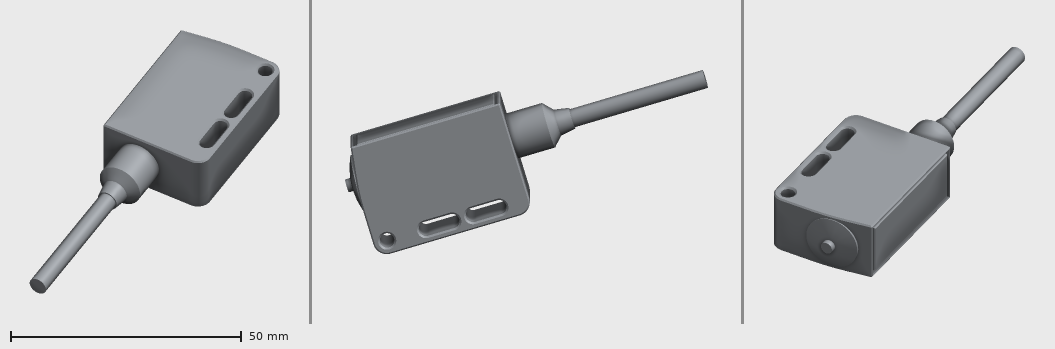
import cadquery as cq

width = 25.0
length = 35.3
depth = 14.0
corner_radius = 3.0
edge_chamfer = 0.3
window_edge_chamfer = 0.2
slope_drop = 1.5
slope_run = 10.3
slope_blend_radius = 58.5

window_margin = 0.5
groove_width = 0.8
island_chamfer = 0.25
groove_depth = 0.8
window_end = 33.3

opening_x = 22.0
opening_width = 3.2
opening_chamfer = 0.4
hole_y = 32.2
slot_length = 9.1
slot_centers_y = (20.4, 9.75)

dial_x = 9.3
knob_top_y = 37.5
knob_radius = 1.5
knob_taper = 0.1
knob_taper_height = 0.4
dial_radius = 6.2
dial_height = 1.2
dial_base_y = 35.2
dial_tilt = 3.6
dial_embed = 0.8

cable_x = 9.0
overall_length = 81.3
collar_radius = 5.0
collar_embed = 0.8
collar_length = 8.3
cone_length = 2.0
neck_length = 3.3
neck_radius_start = 2.9
neck_radius_end = 2.35
cable_radius = 2.0


def make_housing():
    """Chamfered block with two rounded +X corners and an end that slopes down towards -X."""
    outline = [(0, 0), (width, 0), (width, length), (slope_run, length), (0, length - slope_drop)]
    block = cq.Workplane("XY").polyline(outline).close().extrude(depth / 2, both=True)
    block = block.edges("|Z and >X").fillet(corner_radius)
    peak = cq.selectors.NearestToPointSelector((slope_run, length, 0))
    block = block.edges("|Z").edges(peak).fillet(slope_blend_radius)
    block = block.edges("|Z and <X").chamfer(window_edge_chamfer)
    return block.faces("<Z or >Z").edges().chamfer(edge_chamfer)


def window_block(inset):
    """Block on the -X side, set in from the window outline by the given distance."""
    size_y = window_end - window_margin - 2 * inset
    size_z = depth - 2 * window_margin - 2 * inset
    center_y = (window_end + window_margin) / 2
    return cq.Workplane("XY").box(groove_depth, size_y, size_z).translate((groove_depth / 2, center_y, 0))


def cut_openings(body):
    """Round hole and two slots through the depth, chamfered at both ends."""

    def profiles(rim):
        size = opening_width + 2 * rim
        top = cq.Workplane("XY", origin=(opening_x, 0, depth / 2))
        slot_places = [(0, y) for y in slot_centers_y]
        return [
            top.center(0, hole_y).circle(size / 2),
            cq.Workplane(top.plane).pushPoints(slot_places).slot2D(slot_length + 2 * rim, size, 90),
        ]

    for opening in profiles(0):
        body = body.cut(opening.extrude(-depth))
    for rim in profiles(opening_chamfer):
        countersink = rim.extrude(-opening_chamfer, taper=45)
        body = body.cut(countersink).cut(countersink.mirror("XY"))
    return body


def make_dial():
    """Shallow dome, tilted to follow the slope, with a straight knob along Y on it."""
    sphere_radius = (dial_radius**2 + dial_height**2) / (2 * dial_height)
    dome = (
        cq.Workplane("XY")
        .moveTo(0, -dial_embed)
        .lineTo(dial_radius, -dial_embed)
        .lineTo(dial_radius, 0)
        .radiusArc((0, dial_height), -sphere_radius)
        .close()
        .revolve(360, (0, 0), (0, 1))
        .rotate((0, 0, 0), (0, 0, 1), dial_tilt)
        .translate((dial_x, dial_base_y, 0))
    )
    knob_height = knob_top_y - dial_base_y
    knob = (
        cq.Workplane("XY", origin=(dial_x, dial_base_y, 0))
        .lineTo(knob_radius, 0)
        .lineTo(knob_radius, knob_height - knob_taper_height)
        .lineTo(knob_radius - knob_taper, knob_height)
        .lineTo(0, knob_height)
        .close()
        .revolve(360, (0, 0), (0, 1))
    )
    return dome.union(knob)


def make_cable():
    """Collar, cone, tapered neck and cable, turned about the cable axis."""
    cone_y = -collar_length
    neck_y = cone_y - cone_length
    cable_y = neck_y - neck_length
    tip_y = knob_top_y - overall_length
    profile = [
        (0, collar_embed),
        (collar_radius, collar_embed),
        (collar_radius, cone_y),
        (neck_radius_start, neck_y),
        (neck_radius_end, cable_y),
        (cable_radius, cable_y),
        (cable_radius, tip_y),
        (0, tip_y),
    ]
    turned = cq.Workplane("XY").polyline(profile).close().revolve(360, (0, 0), (0, 1))
    return turned.translate((cable_x, 0, 0))


def add_window(body):
    """Cut the window recess and stand the chamfered island in it, which leaves a groove around it."""
    island = window_block(groove_width).faces("<X").edges().chamfer(island_chamfer)
    return body.cut(window_block(0)).union(island)


housing = add_window(cut_openings(make_housing()))
result = housing.union(make_dial()).union(make_cable())